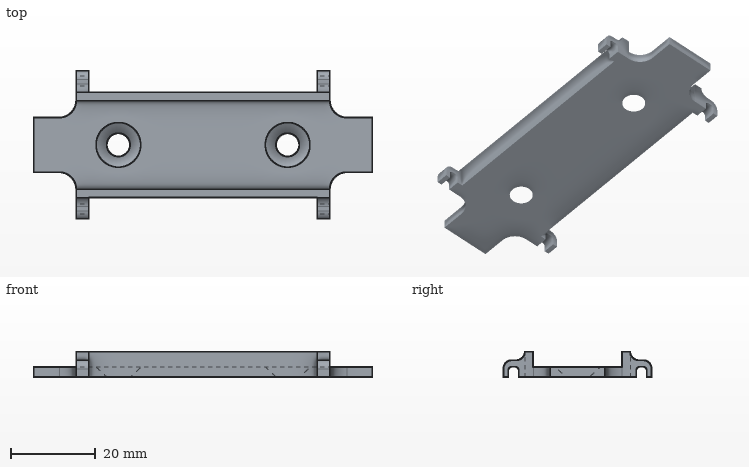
import cadquery as cq
import math

plate_length = 80.0
plate_thickness = 2.4
body_length = 60.0
overall_width = 35.0
corner_radius = 4.0

rail_width = 2.0
rail_height = 6.0

hook_length = 3.0
hook_height = 4.0
hook_radius = 2.0
hook_flat = 1.0
hook_lip = 1.2
slot_width = 2.4
slot_height = 2.4
slot_corner_radius = 0.8

hole_spacing = 40.0
hole_diameter = 5.4
countersink_diameter = 10.6

hook_tip_y = overall_width / 2
rail_outer_y = hook_tip_y - 2 * hook_radius - hook_flat
rail_inner_y = rail_outer_y - rail_width
inner_width = 2 * rail_inner_y
tab_width = inner_width - 2 * corner_radius


def make_plate():
    tabs = cq.Workplane("XY").box(
        plate_length, tab_width, plate_thickness, centered=(True, True, False)
    )
    body = cq.Workplane("XY").box(
        body_length, inner_width, plate_thickness, centered=(True, True, False)
    )
    return tabs.union(body)


def make_corner(x_side, y_side):
    """Concave web between a tab and the end of a rail."""
    end_x = x_side * body_length / 2
    tab_x = end_x + x_side * corner_radius
    tab_y = y_side * tab_width / 2
    rail_y = y_side * rail_inner_y
    arc_inset = corner_radius * math.sqrt(0.5)
    arc_middle = (tab_x - x_side * arc_inset, rail_y - y_side * arc_inset)
    return (
        cq.Workplane("XY")
        .moveTo(end_x, tab_y)
        .lineTo(tab_x, tab_y)
        .threePointArc(arc_middle, (end_x, rail_y))
        .close()
        .extrude(plate_thickness)
    )


def make_rail():
    return cq.Workplane("XY").box(
        body_length, rail_width, rail_height, centered=(True, False, False)
    ).translate((0, rail_inner_y, 0))


def make_hook(start_x):
    """Hook on the +Y side, with a slot that has rounded top corners and an open bottom."""
    slot_outer_y = hook_tip_y - hook_lip
    slot_inner_y = slot_outer_y - slot_width
    slot_spring_z = slot_height - slot_corner_radius
    return (
        cq.Workplane("YZ", origin=(start_x, 0, 0))
        .moveTo(rail_inner_y, 0)
        .lineTo(slot_inner_y, 0)
        .lineTo(slot_inner_y, slot_spring_z)
        .radiusArc((slot_inner_y + slot_corner_radius, slot_height), slot_corner_radius)
        .lineTo(slot_outer_y - slot_corner_radius, slot_height)
        .radiusArc((slot_outer_y, slot_spring_z), slot_corner_radius)
        .lineTo(slot_outer_y, 0)
        .lineTo(hook_tip_y, 0)
        .lineTo(hook_tip_y, hook_height - hook_radius)
        .radiusArc((hook_tip_y - hook_radius, hook_height), -hook_radius)
        .lineTo(rail_outer_y + hook_radius, hook_height)
        .radiusArc((rail_outer_y, hook_height + hook_radius), hook_radius)
        .lineTo(rail_inner_y, rail_height)
        .close()
        .extrude(hook_length)
    )


def make_hole(center_x):
    return (
        cq.Workplane("XY", origin=(center_x, 0, 0))
        .circle(hole_diameter / 2)
        .workplane(offset=plate_thickness)
        .circle(countersink_diameter / 2)
        .loft(ruled=True)
    )


side = make_rail()
for hook_start in (-body_length / 2, body_length / 2 - hook_length):
    side = side.union(make_hook(hook_start))

result = make_plate().union(side).union(side.mirror("XZ"))
for x_side in (-1, 1):
    for y_side in (-1, 1):
        result = result.union(make_corner(x_side, y_side))
    result = result.cut(make_hole(x_side * hole_spacing / 2))